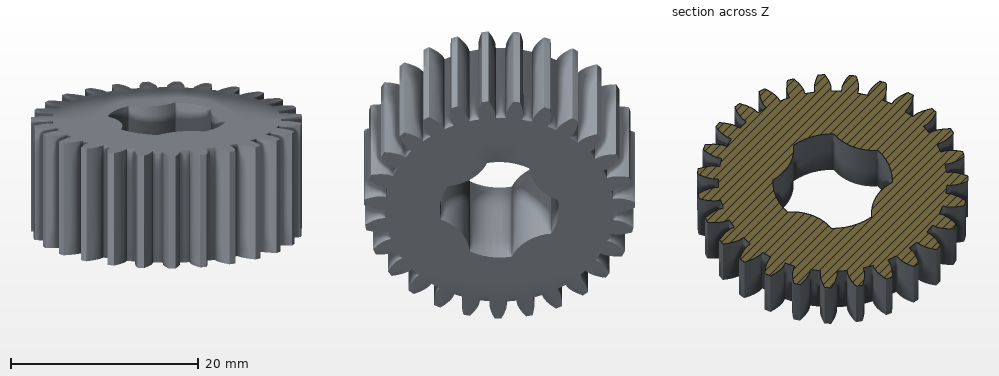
import cadquery as cq
import math

TEETH = 27
PRESSURE_ANGLE = math.radians(20)
SIZE_OVER_TIPS = 28.98
FACE_WIDTH = 12.5
ADDENDUM = 1.0
DEDENDUM = 1.25
BORE_RADIUS = 6.38
LOBE_COUNT = 4
LOBE_REACH = 5.1
LOBE_RADIUS = 5.1
FLANK_POINTS = 8


def involute(angle):
    """Involute function of a pressure angle."""
    return math.tan(angle) - angle


def polar(radius, angle):
    return radius * math.cos(angle), radius * math.sin(angle)


TOOTH_PITCH = 2 * math.pi / TEETH
BASE_TO_TIP = TEETH * math.cos(PRESSURE_ANGLE) / (TEETH + 2 * ADDENDUM)
BASE_HALF_ANGLE = TOOTH_PITCH / 4 + involute(PRESSURE_ANGLE)
TIP_HALF_ANGLE = BASE_HALF_ANGLE - involute(math.acos(BASE_TO_TIP))

TIP_RADIUS = SIZE_OVER_TIPS / 2 / math.cos(TOOTH_PITCH / 4 - TIP_HALF_ANGLE)
MODULE = 2 * TIP_RADIUS / (TEETH + 2 * ADDENDUM)
BASE_RADIUS = TIP_RADIUS * BASE_TO_TIP
ROOT_RADIUS = MODULE * (TEETH / 2 - DEDENDUM)


def rising_flank(tooth_angle):
    """Points from base circle to tip on the clockwise side of a tooth."""
    points = []
    for i in range(FLANK_POINTS):
        radius = BASE_RADIUS + (TIP_RADIUS - BASE_RADIUS) * i / (FLANK_POINTS - 1)
        half_angle = BASE_HALF_ANGLE - involute(math.acos(min(1.0, BASE_RADIUS / radius)))
        points.append(polar(radius, tooth_angle - half_angle))
    return points


def falling_flank(tooth_angle):
    """Points from tip to base circle on the counter-clockwise side of a tooth."""
    cos_twice = math.cos(2 * tooth_angle)
    sin_twice = math.sin(2 * tooth_angle)
    mirrored = [
        (x * cos_twice + y * sin_twice, x * sin_twice - y * cos_twice)
        for x, y in rising_flank(tooth_angle)
    ]
    return mirrored[::-1]


def gear_blank():
    """Toothed disc: radial roots below the base circle, involute flanks above it."""
    outline = cq.Workplane("XY").moveTo(*polar(ROOT_RADIUS, -BASE_HALF_ANGLE))
    for tooth in range(TEETH):
        tooth_angle = tooth * TOOTH_PITCH
        rising = rising_flank(tooth_angle)
        falling = falling_flank(tooth_angle)
        root_middle = polar(ROOT_RADIUS, tooth_angle + TOOTH_PITCH / 2)
        root_end = polar(ROOT_RADIUS, tooth_angle + TOOTH_PITCH - BASE_HALF_ANGLE)
        outline = (
            outline.lineTo(*rising[0])
            .spline(rising[1:], includeCurrent=True)
            .threePointArc(polar(TIP_RADIUS, tooth_angle), falling[0])
            .spline(falling[1:], includeCurrent=True)
            .lineTo(*polar(ROOT_RADIUS, tooth_angle + BASE_HALF_ANGLE))
            .threePointArc(root_middle, root_end)
        )
    return outline.close().extrude(FACE_WIDTH)


def lobed_bore():
    """Round through bore with round lobes of material bulging into it."""
    bore = cq.Workplane("XY").circle(BORE_RADIUS).extrude(FACE_WIDTH)
    lobes = (
        cq.Workplane("XY")
        .polarArray(LOBE_REACH + LOBE_RADIUS, 0, 360, LOBE_COUNT)
        .circle(LOBE_RADIUS)
        .extrude(FACE_WIDTH)
    )
    return bore.cut(lobes)


result = gear_blank().cut(lobed_bore())